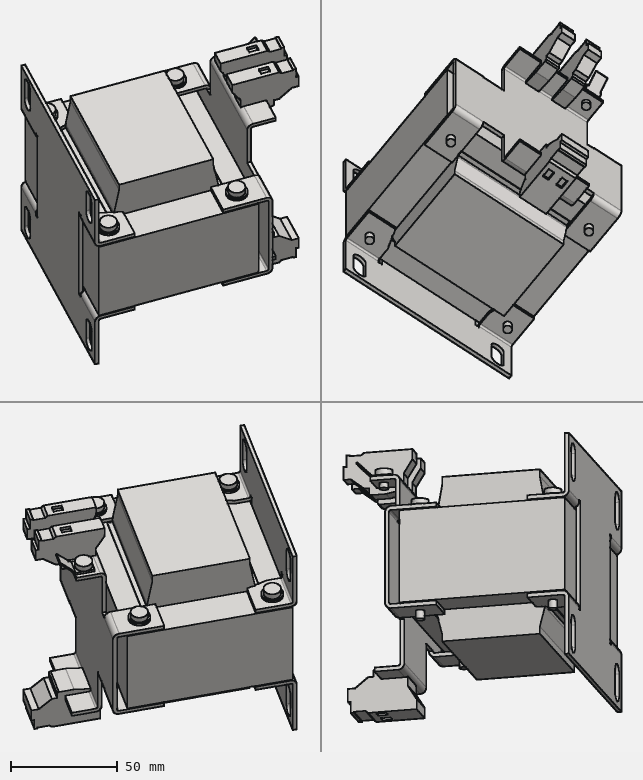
import cadquery as cq
import math


WIDTH = 96.0
SHEET = 2.0
BEND_OUTER = 3.0
BEND_INNER = BEND_OUTER - SHEET

CORE_DEPTH = 80.0
CORE_HEIGHT = 45.0
COIL_WIDTH = 63.2
COIL_TOP = 42.5
COIL_BOTTOM = -38.0
COIL_TOP_HALF_DEPTH = 23.6
COIL_SIDE_HALF_DEPTH = 26.1
COIL_RIM_HALF_DEPTH = 28.6
COIL_STRAIGHT = 3.5

FLANGE_TOP = 25.0
FLANGE_BOTTOM = FLANGE_TOP - SHEET

PLATE_HEIGHT = 108.0
SLOT_WIDTH = 7.2
SLOT_LENGTH = 18.2
SLOT_X = 40.0
SLOT_Z = 42.0
RELIEF_X = 27.1
RELIEF_TOP = 26.7
FRONT_FLANGE_X = 29.2
FRONT_FLANGE_END_Y = 20.0
FRONT_FLANGE_TAPER_Y = 9.5
FRONT_FLANGE_END_X = 32.4

BRACKET_BACK = 89.0
BRACKET_FRONT = BRACKET_BACK - SHEET
REAR_FLANGE_X = 32.0
REAR_FLANGE_END_Y = 64.2
UPPER_TAB_LEFT_X = -28.2
LOWER_TAB_LEFT_X = -20.1
TAB_RIGHT_X = 20.1
TAB_TOP = 46.5
TAB_BOTTOM = TAB_TOP - SHEET
TAB_END_Y = 101.4

BOLT_X = 40.0
BOLT_YS = (9.8, 74.1)
SHANK_DIAMETER = 4.2
HEAD_DIAMETER = 8.2
HEAD_HEIGHT = 3.0
WASHER_DIAMETER = 10.3
WASHER_THICKNESS = 1.1
BOLT_END_Z = -29.1

TERMINAL_WIDTH = 7.65
TERMINAL_TOP = 62.5
TERMINAL_BACK = 117.7
UPPER_TERMINAL_XS = (-2 * TERMINAL_WIDTH, 0.0)
LOWER_TERMINAL_XS = (-TERMINAL_WIDTH, 0.0)
TERMINAL_NOSE_Y = 84.4
TERMINAL_NOSE_Z = 57.5
TERMINAL_FOOT_Y = 88.6
TERMINAL_FOOT_TOP = 50.8
TERMINAL_FOOT_BOTTOM = 43.0
KEEL_FRONT_Y = 97.2
KEEL_BACK_Y = 105.3
KEEL_BOTTOM = 41.5
KEEL_TOP = 45.0
KEEL_CHAMFER_LENGTH = 0.9
KEEL_CHAMFER_HEIGHT = 0.5
ENTRY_SLOPE_FRONT_Y = 107.8
ENTRY_SLOPE_BACK_Y = 114.2
ENTRY_BOTTOM = 50.0
ENTRY_TOP = 56.3
LIP_BACK_Y = 116.3
LIP_FRONT_Y = 114.8
LIP_TOP = 61.9
GROOVE_BOTTOM = 61.4
GROOVE_FRONT_Y = 109.1
TERMINAL_TOP_END_Y = 107.8
POCKET_WIDTH = 3.2
POCKET_LENGTH = 4.7
POCKET_Y = 102.0
POCKET_DEPTH = 1.5

CLIP_X = -22.1
CLIP_WIDTH = 8.1
CLIP_THICKNESS = 0.7
CLIP_PAD_THICKNESS = 0.5
CLIP_FRONT_Y = 92.0
CLIP_BEND_Y = 101.2
CLIP_SHOULDER_Y = 102.9
TONGUE_WIDTH = 6.7
TONGUE_RISE = 7.2
TONGUE_ANGLE = math.radians(45)
CLIP_SCREW_Y = 96.3
CLIP_SCREW_END_Z = 41.9


def box(x0, x1, y0, y1, z0, z1):
    """Box between two corners."""
    return cq.Workplane("XY").box(x1 - x0, y1 - y0, z1 - z0, centered=False).translate((x0, y0, z0))


def extrude_x(profile, x0, x1):
    """Extrude a closed profile drawn in (Y, Z) from x0 to x1."""
    return profile.extrude(x1 - x0).translate((x0, 0, 0))


def yz_polygon(points):
    return cq.Workplane("YZ").polyline(points).close()


def bend(y, z, y_sign, z_sign, x0, x1):
    """Quarter bend about the axis (y, z), on the side given by the two signs."""
    diagonal = math.sqrt(0.5)
    profile = (
        cq.Workplane("YZ")
        .moveTo(y + y_sign * BEND_INNER, z)
        .lineTo(y + y_sign * BEND_OUTER, z)
        .threePointArc(
            (y + y_sign * BEND_OUTER * diagonal, z + z_sign * BEND_OUTER * diagonal),
            (y, z + z_sign * BEND_OUTER),
        )
        .lineTo(y, z + z_sign * BEND_INNER)
        .threePointArc(
            (y + y_sign * BEND_INNER * diagonal, z + z_sign * BEND_INNER * diagonal),
            (y + y_sign * BEND_INNER, z),
        )
        .close()
    )
    return extrude_x(profile, x0, x1)


def mirror_copies(solid, plane):
    """The solid joined with its mirror image through the origin plane."""
    return solid.union(solid.mirror(plane))


def core():
    half = CORE_HEIGHT / 2
    return box(-WIDTH / 2, WIDTH / 2, SHEET, SHEET + CORE_DEPTH, -half, half)


def coil():
    """Coil tapering towards both ends, with a low rim around its foot on the core."""
    right_side = [
        (COIL_TOP_HALF_DEPTH, COIL_BOTTOM),
        (COIL_TOP_HALF_DEPTH, COIL_BOTTOM + COIL_STRAIGHT),
        (COIL_SIDE_HALF_DEPTH, -FLANGE_TOP),
        (COIL_SIDE_HALF_DEPTH, -FLANGE_BOTTOM),
        (COIL_RIM_HALF_DEPTH, -FLANGE_BOTTOM),
        (COIL_RIM_HALF_DEPTH, FLANGE_BOTTOM),
        (COIL_SIDE_HALF_DEPTH, FLANGE_BOTTOM),
        (COIL_SIDE_HALF_DEPTH, FLANGE_TOP),
        (COIL_TOP_HALF_DEPTH, COIL_TOP - COIL_STRAIGHT),
        (COIL_TOP_HALF_DEPTH, COIL_TOP),
    ]
    left_side = [(-y, z) for y, z in reversed(right_side)]
    middle_y = SHEET + CORE_DEPTH / 2
    solid = extrude_x(yz_polygon(right_side + left_side), -COIL_WIDTH / 2, COIL_WIDTH / 2)
    return solid.translate((0, middle_y, 0))


def front_flange():
    """Upper right flange of the mounting plate with its bend."""
    outline = [
        (WIDTH / 2, BEND_OUTER),
        (WIDTH / 2, FRONT_FLANGE_END_Y),
        (FRONT_FLANGE_END_X, FRONT_FLANGE_END_Y),
        (FRONT_FLANGE_X, FRONT_FLANGE_TAPER_Y),
        (FRONT_FLANGE_X, BEND_OUTER),
    ]
    leaf = cq.Workplane("XY").workplane(offset=FLANGE_BOTTOM).polyline(outline).close().extrude(SHEET)
    bend_z = FLANGE_BOTTOM + BEND_OUTER
    curve = bend(BEND_OUTER, bend_z, -1, -1, FRONT_FLANGE_X, WIDTH / 2)
    web = box(FRONT_FLANGE_X, WIDTH / 2, 0, SHEET, bend_z, RELIEF_TOP)
    return leaf.union(curve).union(web)


def mounting_plate():
    plate = box(-WIDTH / 2, WIDTH / 2, 0, SHEET, -PLATE_HEIGHT / 2, PLATE_HEIGHT / 2)
    for side in (-1, 1):
        x0, x1 = sorted((side * RELIEF_X, side * WIDTH / 2))
        plate = plate.cut(box(x0, x1, 0, SHEET, -RELIEF_TOP, RELIEF_TOP))
    slots = (
        cq.Workplane("XZ")
        .rect(2 * SLOT_X, 2 * SLOT_Z, forConstruction=True)
        .vertices()
        .slot2D(SLOT_LENGTH, SLOT_WIDTH, 90)
        .extrude(-SHEET)
    )
    flanges = mirror_copies(mirror_copies(front_flange(), "YZ"), "XY")
    return plate.cut(slots).union(flanges)


def rear_flange():
    """Upper right flange of the rear bracket with its bend."""
    bend_y = BRACKET_BACK - BEND_OUTER
    bend_z = FLANGE_TOP - BEND_OUTER
    leaf = box(REAR_FLANGE_X, WIDTH / 2, REAR_FLANGE_END_Y, bend_y, FLANGE_BOTTOM, FLANGE_TOP)
    return leaf.union(bend(bend_y, bend_z, 1, 1, REAR_FLANGE_X, WIDTH / 2))


def terminal_tab(left_x):
    """Upper neck rising from the bracket wall and the tab bent backwards from it."""
    bend_y = BRACKET_FRONT + BEND_OUTER
    bend_z = TAB_TOP - BEND_OUTER
    neck = box(left_x, TAB_RIGHT_X, BRACKET_FRONT, BRACKET_BACK, 0, bend_z)
    curve = bend(bend_y, bend_z, -1, 1, left_x, TAB_RIGHT_X)
    tab = box(left_x, TAB_RIGHT_X, bend_y, TAB_END_Y, TAB_BOTTOM, TAB_TOP)
    return neck.union(curve).union(tab)


def rear_bracket():
    wall_half = FLANGE_TOP - BEND_OUTER
    wall = box(-WIDTH / 2, WIDTH / 2, BRACKET_FRONT, BRACKET_BACK, -wall_half, wall_half)
    flanges = mirror_copies(mirror_copies(rear_flange(), "YZ"), "XY")
    upper_tab = terminal_tab(UPPER_TAB_LEFT_X)
    lower_tab = terminal_tab(LOWER_TAB_LEFT_X).mirror("XY")
    return wall.union(flanges).union(upper_tab).union(lower_tab)


def cylinder(x, y, diameter, z0, z1):
    return cq.Workplane("XY").circle(diameter / 2).extrude(z1 - z0).translate((x, y, z0))


def bolt(x, y):
    washer_top = FLANGE_TOP + WASHER_THICKNESS
    head_top = washer_top + HEAD_HEIGHT
    washer = cylinder(x, y, WASHER_DIAMETER, FLANGE_TOP, washer_top)
    head = cylinder(x, y, HEAD_DIAMETER, washer_top, head_top)
    shank = cylinder(x, y, SHANK_DIAMETER, BOLT_END_Z, washer_top)
    return shank.union(washer).union(head)


def terminal(x0):
    """Upper terminal block whose left side lies at x0."""
    outline = [
        (TERMINAL_NOSE_Y, TERMINAL_TOP),
        (TERMINAL_NOSE_Y, TERMINAL_NOSE_Z),
        (TERMINAL_FOOT_Y, TERMINAL_FOOT_TOP),
        (TERMINAL_FOOT_Y, TERMINAL_FOOT_BOTTOM),
        (KEEL_FRONT_Y, KEEL_BOTTOM),
        (KEEL_BACK_Y - KEEL_CHAMFER_LENGTH, KEEL_BOTTOM),
        (KEEL_BACK_Y, KEEL_BOTTOM + KEEL_CHAMFER_HEIGHT),
        (KEEL_BACK_Y, KEEL_TOP),
        (ENTRY_SLOPE_FRONT_Y, KEEL_TOP),
        (ENTRY_SLOPE_BACK_Y, ENTRY_BOTTOM),
        (TERMINAL_BACK, ENTRY_BOTTOM),
        (TERMINAL_BACK, ENTRY_TOP),
        (LIP_BACK_Y, ENTRY_TOP),
        (LIP_BACK_Y, LIP_TOP),
        (LIP_FRONT_Y, LIP_TOP),
        (LIP_FRONT_Y, GROOVE_BOTTOM),
        (GROOVE_FRONT_Y, GROOVE_BOTTOM),
        (TERMINAL_TOP_END_Y, TERMINAL_TOP),
    ]
    body = extrude_x(yz_polygon(outline), x0, x0 + TERMINAL_WIDTH)
    middle_x = x0 + TERMINAL_WIDTH / 2
    pocket = box(
        middle_x - POCKET_WIDTH / 2,
        middle_x + POCKET_WIDTH / 2,
        POCKET_Y - POCKET_LENGTH / 2,
        POCKET_Y + POCKET_LENGTH / 2,
        TERMINAL_TOP - POCKET_DEPTH,
        TERMINAL_TOP,
    )
    return body.cut(pocket)


def ground_clip():
    """Sheet clip on a pad on the upper tab, its rising tongue, and its screw."""
    bottom = TAB_TOP + CLIP_PAD_THICKNESS
    top = bottom + CLIP_THICKNESS
    miter = CLIP_THICKNESS * math.tan(TONGUE_ANGLE / 2)
    tongue_end_y = CLIP_BEND_Y + TONGUE_RISE / math.tan(TONGUE_ANGLE)
    tongue_end_z = top + TONGUE_RISE
    end_shift_y = CLIP_THICKNESS * math.sin(TONGUE_ANGLE)
    end_shift_z = CLIP_THICKNESS * math.cos(TONGUE_ANGLE)
    profile = yz_polygon([
        (CLIP_FRONT_Y, bottom),
        (CLIP_BEND_Y + miter, bottom),
        (tongue_end_y + end_shift_y, tongue_end_z - end_shift_z),
        (tongue_end_y, tongue_end_z),
        (CLIP_BEND_Y, top),
        (CLIP_FRONT_Y, top),
    ])
    x_min = CLIP_X - CLIP_WIDTH / 2
    x_max = CLIP_X + CLIP_WIDTH / 2
    strip = extrude_x(profile, x_min, x_max)
    for side in (-1, 1):
        x0, x1 = sorted((CLIP_X + side * TONGUE_WIDTH / 2, CLIP_X + side * CLIP_WIDTH / 2))
        strip = strip.cut(box(x0, x1, CLIP_SHOULDER_Y, TERMINAL_BACK, bottom, TERMINAL_TOP))
    pad = box(x_min, x_max, CLIP_FRONT_Y, CLIP_BEND_Y, TAB_TOP, bottom)
    head = cylinder(CLIP_X, CLIP_SCREW_Y, HEAD_DIAMETER, top, top + HEAD_HEIGHT)
    shank = cylinder(CLIP_X, CLIP_SCREW_Y, SHANK_DIAMETER, CLIP_SCREW_END_Z, top)
    return strip.union(pad).union(head).union(shank)


result = core().union(coil()).union(mounting_plate()).union(rear_bracket())
for bolt_x in (-BOLT_X, BOLT_X):
    for bolt_y in BOLT_YS:
        result = result.union(bolt(bolt_x, bolt_y))
for left_x in UPPER_TERMINAL_XS:
    result = result.union(terminal(left_x))
for left_x in LOWER_TERMINAL_XS:
    result = result.union(terminal(left_x).mirror("XY"))
result = result.union(ground_clip())